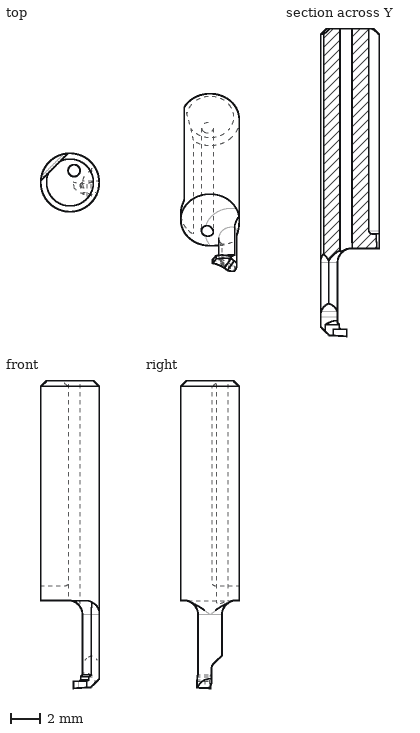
import cadquery as cq
import math


SHANK_RADIUS = 2.0
SHANK_LENGTH = 15.0
TOP_CHAMFER = 0.4
FLAT_DISTANCE = 1.5
FLAT_ANGLE = 135.0
FLAT_BOTTOM_Z = 1.0
FLAT_FILLET = 0.2
COOLANT_RADIUS = 0.4
COOLANT_X = 0.28
COOLANT_Y = 0.81

NECK_LENGTH = 5.94
BACK_RADIUS = 0.9
BACK_X = SHANK_RADIUS - BACK_RADIUS
FRONT_RADIUS = 0.86
FRONT_X = 1.70
ROOT_FILLET = 0.95
ROOT_DEPTH = 2 * ROOT_FILLET
HEEL_CHAMFER = 0.6

COLLAR_RADIUS = FRONT_RADIUS + 0.11
FLARE_RADIUS = COLLAR_RADIUS + 0.08
FLARE_START_Z = -5.05
COLLAR_TOP_Z = -5.2
COLLAR_BOTTOM_Z = -5.4

RAKE_Y = 0.11
RAMP_TOP_Z = -3.72
RAMP_SLOPE = 0.95
RAMP_FILLET = 0.5

GROOVE_RADIUS = 2.155
GROOVE_X = 0.87
GROOVE_FLOOR_Y = -0.055
GROOVE_AXIS_Y = GROOVE_FLOOR_Y + GROOVE_RADIUS
GROOVE_FULL_Z = -5.2
GROOVE_END_Z = -4.85
GROOVE_TAPER = 0.2

HEAD_TOP_Z = -5.5
TIP_X = 0.2
TIP_Z = -6.0
FLANK_POINTS = [(0.27, -0.37), (0.57, -0.61)]
HEAD_BACK_X = 1.13
HEAD_BACK_Y = -math.sqrt(BACK_RADIUS**2 - (HEAD_BACK_X - BACK_X)**2)

CLEAR = 1.0


def cylinder(x, y, radius, bottom, top):
    return cq.Workplane("XY", origin=(x, y, bottom)).circle(radius).extrude(top - bottom)


def make_flat_tool():
    """Block that cuts the clamping flat, built facing +X and then turned."""
    thickness = SHANK_RADIUS + CLEAR - FLAT_DISTANCE
    tool = (
        cq.Workplane("XY", origin=(FLAT_DISTANCE, 0, FLAT_BOTTOM_Z))
        .box(thickness, 2 * (SHANK_RADIUS + CLEAR), SHANK_LENGTH, centered=(False, True, False))
    )
    tool = tool.edges("<X and <Z").fillet(FLAT_FILLET)
    return tool.rotate((0, 0, 0), (0, 0, 1), FLAT_ANGLE)


def make_shank():
    shank = cylinder(0, 0, SHANK_RADIUS, 0, SHANK_LENGTH).faces(">Z").chamfer(TOP_CHAMFER)
    return shank.cut(make_flat_tool())


def make_root():
    """Top of the neck with its fillet into the shank, trimmed to the shank's outline."""
    back = cylinder(BACK_X, 0, BACK_RADIUS, -ROOT_DEPTH, 0)
    front = cylinder(FRONT_X, 0, FRONT_RADIUS, -ROOT_DEPTH, 0)
    plate = cylinder(0, 0, 3 * SHANK_RADIUS, 0, CLEAR)
    joint_margin = ROOT_FILLET / 4
    around_joint = cq.selectors.BoxSelector(
        (0, -BACK_RADIUS, -joint_margin), (SHANK_RADIUS, BACK_RADIUS, joint_margin)
    )
    root = plate.union(back.intersect(front)).edges(around_joint).fillet(ROOT_FILLET)
    return root.intersect(cylinder(0, 0, SHANK_RADIUS, -ROOT_DEPTH, CLEAR))


def make_lower_neck():
    flared_front = (
        cq.Workplane("XZ", origin=(FRONT_X, 0, 0))
        .moveTo(0, -ROOT_DEPTH)
        .lineTo(FRONT_RADIUS, -ROOT_DEPTH)
        .lineTo(FRONT_RADIUS, FLARE_START_Z)
        .lineTo(COLLAR_RADIUS, COLLAR_TOP_Z)
        .lineTo(COLLAR_RADIUS, COLLAR_BOTTOM_Z)
        .lineTo(FLARE_RADIUS, HEAD_TOP_Z)
        .lineTo(FLARE_RADIUS, -NECK_LENGTH)
        .lineTo(0, -NECK_LENGTH)
        .close()
        .revolve(360, (0, 0, 0), (0, 1, 0))
    )
    return flared_front.intersect(cylinder(BACK_X, 0, BACK_RADIUS, -NECK_LENGTH, -ROOT_DEPTH))


def make_rake_tool():
    """Removes the +Y side of the lower neck, leaving the ramp and the rake flat."""
    ramp_run = BACK_RADIUS + CLEAR - RAKE_Y
    ramp_foot_z = RAMP_TOP_Z - (FRONT_RADIUS - RAKE_Y) * RAMP_SLOPE
    tool = (
        cq.Workplane("YZ")
        .moveTo(RAKE_Y, TIP_Z - CLEAR)
        .lineTo(RAKE_Y, ramp_foot_z)
        .lineTo(RAKE_Y + ramp_run, ramp_foot_z + ramp_run * RAMP_SLOPE)
        .lineTo(RAKE_Y + ramp_run, TIP_Z - CLEAR)
        .close()
        .extrude(SHANK_RADIUS + CLEAR)
    )
    ramp_foot = cq.selectors.NearestToPointSelector((CLEAR, RAKE_Y, ramp_foot_z))
    return tool.edges(ramp_foot).fillet(RAMP_FILLET)


def make_groove_tool():
    return (
        cq.Workplane("XZ", origin=(GROOVE_X, GROOVE_AXIS_Y, 0))
        .moveTo(0, TIP_Z - CLEAR)
        .lineTo(GROOVE_RADIUS, TIP_Z - CLEAR)
        .lineTo(GROOVE_RADIUS, GROOVE_FULL_Z)
        .lineTo(GROOVE_RADIUS - GROOVE_TAPER, GROOVE_END_Z)
        .lineTo(0, GROOVE_END_Z)
        .close()
        .revolve(360, (0, 0, 0), (0, 1, 0))
    )


def make_heel_tool():
    """Wedge that bevels the back of the neck's lower end."""
    return (
        cq.Workplane("XZ")
        .moveTo(SHANK_RADIUS - HEEL_CHAMFER, -NECK_LENGTH)
        .lineTo(SHANK_RADIUS + CLEAR, -NECK_LENGTH + HEEL_CHAMFER + CLEAR)
        .lineTo(SHANK_RADIUS + CLEAR, -NECK_LENGTH)
        .close()
        .extrude(SHANK_RADIUS, both=True)
    )


def make_head_space():
    """The corner below the flare that the cutting head fills."""
    return (
        cq.Workplane("XY")
        .box(HEAD_BACK_X, 2 * SHANK_RADIUS, HEAD_TOP_Z - TIP_Z, centered=(False, True, False))
        .translate((0, 0, TIP_Z))
    )


def make_bar():
    bar = make_shank().union(make_root()).union(make_lower_neck())
    bar = bar.cut(cylinder(COOLANT_X, COOLANT_Y, COOLANT_RADIUS, -ROOT_FILLET, SHANK_LENGTH))
    for tool in (make_rake_tool(), make_groove_tool(), make_heel_tool(), make_head_space()):
        bar = bar.cut(tool)
    return bar


def make_head():
    """Cutting head whose underside rises from the tip to the end of the neck."""
    plan = (
        cq.Workplane("XY", origin=(0, 0, TIP_Z))
        .polyline([(TIP_X, RAKE_Y), *FLANK_POINTS, (HEAD_BACK_X, HEAD_BACK_Y), (HEAD_BACK_X, RAKE_Y)])
        .close()
        .extrude(HEAD_TOP_Z - TIP_Z)
    )
    relief = (
        cq.Workplane("XZ")
        .polyline([(TIP_X, TIP_Z), (HEAD_BACK_X, -NECK_LENGTH), (HEAD_BACK_X, TIP_Z)])
        .close()
        .extrude(SHANK_RADIUS, both=True)
    )
    return plan.cut(relief).cut(make_groove_tool())


bar = make_bar()
cutting_head = make_head()

result = cq.Compound.makeCompound([bar.solids().val(), cutting_head.solids().val()])